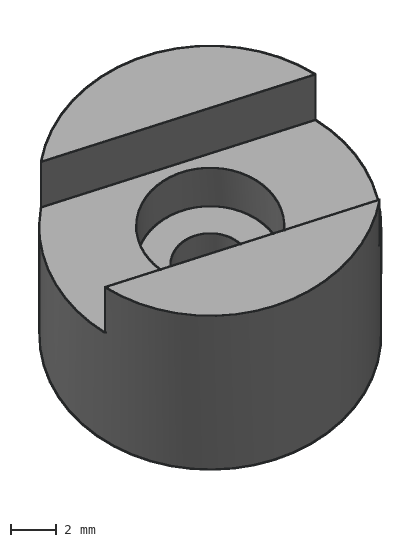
import cadquery as cq

body_diameter = 15
body_height = 11.0
slot_width = body_diameter / 2
slot_depth = 3.25
bore_diameter = 3.5
counterbore_diameter = 6.5
counterbore_depth = 2.75

slot_floor_height = body_height - slot_depth

body = cq.Workplane("XY").circle(body_diameter / 2).extrude(body_height)

slot = (
    cq.Workplane("XY")
    .workplane(offset=slot_floor_height)
    .rect(slot_width, body_diameter)
    .extrude(slot_depth)
)

bore = cq.Workplane("XY").circle(bore_diameter / 2).extrude(body_height)
counterbore = (
    cq.Workplane("XY")
    .workplane(offset=slot_floor_height - counterbore_depth)
    .circle(counterbore_diameter / 2)
    .extrude(counterbore_depth)
)

result = body.cut(slot).cut(bore).cut(counterbore)